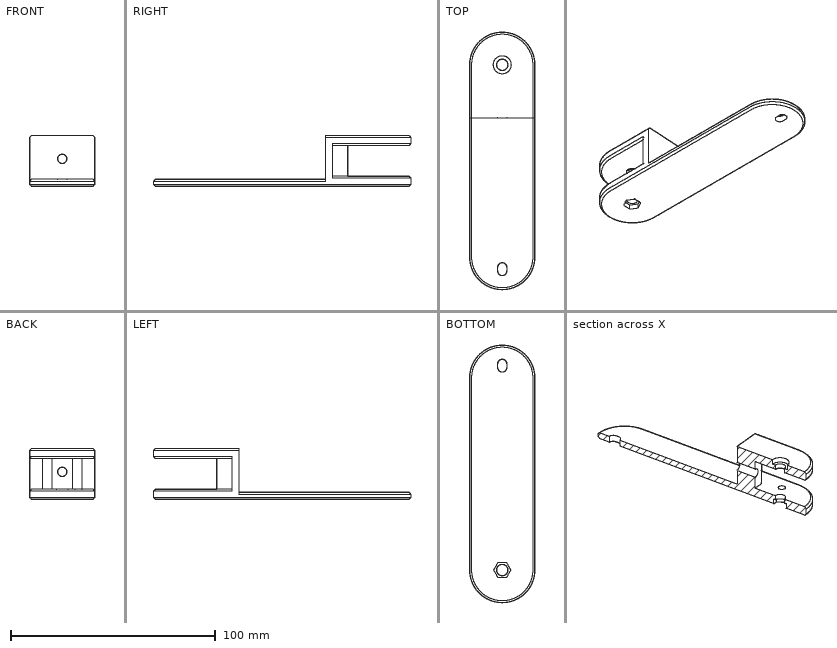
import cadquery as cq
import math

length = 126.0
width = 32.0
height = 25.0
end_radius = width / 2
edge_chamfer = 1.0

arm_thickness = 5.0
tail_thickness = 3.5
fork_length = 42.0
wall_thickness = 3.5
y_back = length / 2
y_front = -length / 2
wall_outer_y = y_back - fork_length
wall_inner_y = wall_outer_y + wall_thickness
gap_height = height - 2 * arm_thickness

boss_depth = 7.5
boss_front_width = 10.1
boss_side_angle = 32.0
wall_hole_diameter = 4.4
wall_hole_z = 13.5

pivot_y = y_back - end_radius
pivot_diameter = 5.4
upper_recess_diameter = 8.8
nut_corner_diameter = 8.5
recess_depth = 2.5

dimple_diameter = 3.5
dimple_x = -8.0
dimple_offset_y = -4.7

slot_length = 6.2
slot_width = 4.4
slot_y = y_front + 10.1


def stadium_plate(bottom_z, thickness):
    """Full-length plate with round ends, chamfered along its top and bottom rims."""
    plate = cq.Workplane("XY").workplane(offset=bottom_z).slot2D(length, width, 90).extrude(thickness)
    return plate.faces("<Z or >Z").edges().chamfer(edge_chamfer)


def y_slice(plate, y_start, y_end):
    """Keep the stretch of a plate between two Y positions."""
    keeper = cq.Workplane("XY").box(width, y_end - y_start, height, centered=(True, False, False))
    return plate.intersect(keeper.translate((0, y_start, 0)))


def make_wall():
    """Square-edged wall between the arms, with the outer rims chamfered."""
    wall = cq.Workplane("XY").box(width, wall_thickness, height, centered=(True, False, False))
    return wall.edges("|Y").chamfer(edge_chamfer).translate((0, wall_outer_y, 0))


def make_boss():
    """Boss tapering from the wall towards the fork opening."""
    front_half = boss_front_width / 2
    base_half = front_half + boss_depth * math.tan(math.radians(boss_side_angle))
    boss_front_y = wall_inner_y + boss_depth
    outline = [
        (-base_half, wall_inner_y),
        (-front_half, boss_front_y),
        (front_half, boss_front_y),
        (base_half, wall_inner_y),
    ]
    return cq.Workplane("XY").workplane(offset=arm_thickness).polyline(outline).close().extrude(gap_height)


def vertical_cylinder(diameter, bottom_z, depth):
    """Cylinder on the pivot axis."""
    base = cq.Workplane("XY").workplane(offset=bottom_z).center(0, pivot_y)
    return base.circle(diameter / 2).extrude(depth)


upper_arm = y_slice(stadium_plate(height - arm_thickness, arm_thickness), wall_inner_y, y_back)
lower_arm = y_slice(stadium_plate(0, arm_thickness), wall_inner_y, y_back)
tail = y_slice(stadium_plate(0, tail_thickness), y_front, wall_outer_y)
body = make_wall().union(upper_arm).union(lower_arm).union(tail).union(make_boss())

body = body.cut(vertical_cylinder(pivot_diameter, 0, height))
body = body.cut(vertical_cylinder(upper_recess_diameter, height - recess_depth, recess_depth))

nut_pocket = cq.Workplane("XY").polygon(6, nut_corner_diameter).extrude(recess_depth)
nut_pocket = nut_pocket.translate((0, pivot_y, 0))
body = body.cut(nut_pocket)

dimple = cq.Workplane("XY").sphere(dimple_diameter / 2)
body = body.cut(dimple.translate((dimple_x, pivot_y + dimple_offset_y, arm_thickness)))

wall_hole = (
    cq.Workplane("XZ", origin=(0, wall_outer_y, wall_hole_z))
    .circle(wall_hole_diameter / 2)
    .extrude(-(wall_thickness + boss_depth))
)
body = body.cut(wall_hole)

slot = cq.Workplane("XY").center(0, slot_y).slot2D(slot_length, slot_width, 90).extrude(tail_thickness)
result = body.cut(slot)